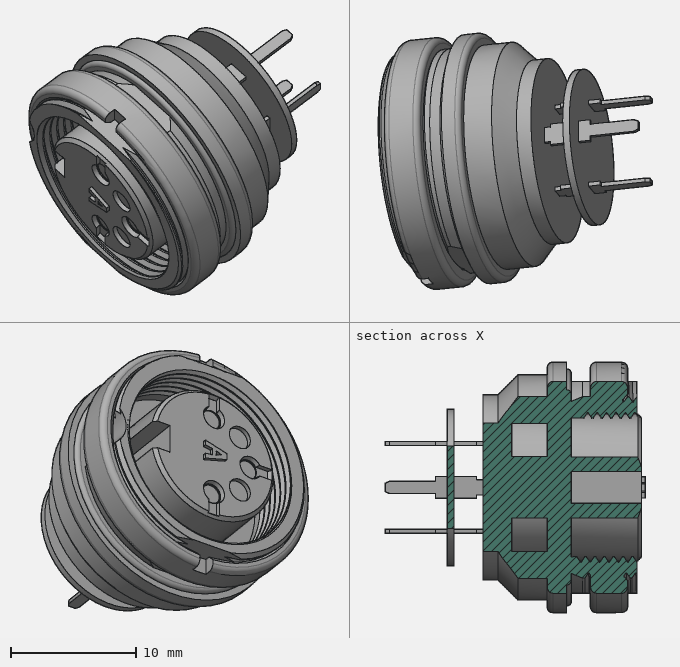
import cadquery as cq

shell_radius = 9.0
shell_neck_radius = 8.7
shell_rear_radius = 7.4
taper_start = 4.35
cone_start = 9.5
cone_end = 11.1
shell_end = 12.3
flat_height = 8.45

flange_radius = 10.0
flange_front = 5.63
flange_rear = 7.18
flange_fillet = 0.45
gasket_radius = 9.45
gasket_front = 5.25
gasket_fillet = 0.35

thread_pitch = 0.75
outer_thread_depth = 0.37
outer_thread_start = -0.895
outer_thread_turns = 6.45
inner_minor_radius = 7.65
inner_major_radius = 8.0
inner_thread_start = -1.03
inner_thread_turns = 7.4
inner_bore_step = 6.3
thread_half_width = 0.36
thread_overshoot = 0.06

side_groove_radius = 2.05
side_groove_bottom = 8.2

cavity_radius = 7.35
cavity_floor = 10.0
insert_radius = 5.85
insert_front = -0.35
insert_chamfer = 0.3
key_width = 2.5
key_bottom = 4.24
key_floor = 6.5

socket_circle_radius = 3.5
socket_mouth_diameter = 2.0
socket_floor_diameter = 1.8
socket_depth = 0.4
contact_bore_diameter = 1.65
contact_bore_depth = 0.1
socket_slot_width = 1.0
slot_end_at_floor = 5.4
slot_end_at_face = 5.66
contact_angles = (0, 90, -90)
blind_angles = (45, -45)

mark_height = 0.3
mark_base_x = -1.03
mark_tip_x = 1.03
mark_base_half = 0.85
mark_tip_half = 0.28
mark_leg_inner_half = 0.4
mark_bar_low_x = -0.35
mark_bar_low_half = 0.28
mark_bar_high_x = 0.03
mark_bar_high_half = 0.18
mark_window_tip_x = 0.5

nut_radius = 10.0
nut_front = 0.75
nut_rear = 3.75
nut_bore_radius = 8.6
nut_mouth_radius = 9.15
nut_fillet = 0.5
nut_slot_width = 1.25
nut_slot_depth = 1.0

pin_thickness = 0.33
pin_neck_width = 1.25
pin_shoulder_width = 1.75
pin_tail_width = 1.0
pin_shoulder_start = 12.8
pin_shoulder_end = 16.1
pin_tip = 20.1
pin_tip_bevel = 0.16
pin_tip_length = 0.35
disc_radius = 6.25
disc_front = 14.6
disc_rear = 15.15


def cylinder(radius, front, rear):
    """Solid cylinder on the Y axis between two Y positions."""
    return cq.Workplane("XZ", origin=(0, front, 0)).circle(radius).extrude(front - rear)


def helical_groove(radius, profile, start, turns):
    """Right-handed groove on the Y axis; profile holds (radius, axial) points."""
    path = cq.Wire.makeHelix(thread_pitch, turns * thread_pitch, radius)
    groove = cq.Workplane("XZ").polyline(profile).close().sweep(cq.Workplane(path), isFrenet=True)
    return groove.rotate((0, 0, 0), (1, 0, 0), -90).translate((0, start, 0))


def make_threaded_shell():
    outline = [
        (0, taper_start),
        (shell_radius, taper_start),
        (shell_neck_radius, gasket_front),
        (shell_neck_radius, flange_rear),
        (shell_radius, flange_rear),
        (shell_radius, cone_start),
        (shell_rear_radius, cone_end),
        (shell_rear_radius, shell_end),
        (0, shell_end),
    ]
    rear_shell = cq.Workplane("XY").polyline(outline).close().revolve(360, (0, 0, 0), (0, 1, 0))

    groove_profile = [
        (shell_radius - outer_thread_depth, 0),
        (shell_radius + thread_overshoot, thread_half_width),
        (shell_radius + thread_overshoot, -thread_half_width),
    ]
    groove = helical_groove(shell_radius, groove_profile, outer_thread_start, outer_thread_turns)
    threaded_section = cylinder(shell_radius, 0, taper_start).cut(groove)
    return threaded_section.union(rear_shell)


def cut_shell_sides(shell):
    """Two flats above and below, and the rounded groove on the -X side."""
    for side in (1, -1):
        waste = cq.Workplane("XY").box(
            2 * shell_radius, gasket_front, 2 * (flange_radius - flat_height), centered=(True, False, True)
        )
        shell = shell.cut(waste.translate((0, 0, side * flange_radius)))
    groove = cylinder(side_groove_radius, 0, gasket_front)
    return shell.cut(groove.translate((-side_groove_bottom - side_groove_radius, 0, 0)))


def cut_cavity(shell):
    """Threaded bore at the front, stepping down to a plain bore behind it."""
    groove_profile = [
        (inner_major_radius, 0),
        (inner_minor_radius - thread_overshoot, thread_half_width),
        (inner_minor_radius - thread_overshoot, -thread_half_width),
    ]
    groove = helical_groove(inner_minor_radius, groove_profile, inner_thread_start, inner_thread_turns)
    threaded_bore = cylinder(inner_minor_radius, -thread_pitch, inner_bore_step).union(groove)
    return shell.cut(threaded_bore).cut(cylinder(cavity_radius, 0, cavity_floor))


def make_flange():
    flange = cylinder(flange_radius, flange_front, flange_rear).faces(">Y").edges().fillet(flange_fillet)
    gasket = cylinder(gasket_radius, gasket_front, flange_front).faces("<Y").edges().fillet(gasket_fillet)
    return flange.union(gasket)


def make_nut():
    mouth_length = nut_mouth_radius - nut_bore_radius
    outline = [
        (nut_bore_radius, nut_front + mouth_length),
        (nut_mouth_radius, nut_front),
        (nut_radius, nut_front),
        (nut_radius, nut_rear),
        (nut_bore_radius, nut_rear),
    ]
    nut = cq.Workplane("XY").polyline(outline).close().revolve(360, (0, 0, 0), (0, 1, 0))
    nut = nut.edges(cq.selectors.RadiusNthSelector(-1)).fillet(nut_fillet)
    slot = cq.Workplane("XY").box(
        nut_slot_width, nut_slot_depth, 2 * nut_radius, centered=(True, False, True)
    )
    return nut.cut(slot.translate((0, nut_front, 0)))


def make_socket(with_slot):
    """Cutter for the socket on the +X side of the insert."""
    floor = insert_front + socket_depth
    floor_diameter = socket_floor_diameter if with_slot else socket_mouth_diameter
    hole = (
        cq.Workplane("XZ", origin=(socket_circle_radius, insert_front, 0))
        .circle(socket_mouth_diameter / 2)
        .workplane(offset=-socket_depth)
        .circle(floor_diameter / 2)
        .loft()
    )
    if not with_slot:
        return hole
    slot_outline = [
        (socket_circle_radius, insert_front),
        (slot_end_at_face, insert_front),
        (slot_end_at_floor, floor),
        (socket_circle_radius, floor),
    ]
    slot = cq.Workplane("XY").polyline(slot_outline).close().extrude(socket_slot_width / 2, both=True)
    bore = cylinder(contact_bore_diameter / 2, floor, floor + contact_bore_depth)
    return hole.union(slot).union(bore.translate((socket_circle_radius, 0, 0)))


def make_insert():
    insert = cylinder(insert_radius, insert_front, cavity_floor).faces("<Y").edges().chamfer(insert_chamfer)
    key = cq.Workplane("XY").box(
        insert_radius - key_bottom, key_floor - insert_front, key_width, centered=(False, False, True)
    )
    insert = insert.cut(key.translate((-insert_radius, insert_front, 0)))
    for angles, with_slot in ((contact_angles, True), (blind_angles, False)):
        for angle in angles:
            insert = insert.cut(make_socket(with_slot).rotate((0, 0, 0), (0, 1, 0), angle))
    return insert


def make_mark():
    """Letter A lying on its side, with its tip towards +X."""
    upper_half = [
        (mark_tip_x, mark_tip_half),
        (mark_base_x, mark_base_half),
        (mark_base_x, mark_leg_inner_half),
        (mark_bar_low_x, mark_bar_low_half),
    ]
    lower_half = [(x, -z) for x, z in reversed(upper_half)]
    window = [
        (mark_bar_high_x, mark_bar_high_half),
        (mark_bar_high_x, -mark_bar_high_half),
        (mark_window_tip_x, 0),
    ]
    plane = cq.Workplane("XZ", origin=(0, insert_front, 0))
    return plane.polyline(upper_half + lower_half).close().polyline(window).close().extrude(mark_height)


def make_pin():
    """Flat solder pin on the +X side, wide along Z."""
    neck = pin_neck_width / 2
    shoulder = pin_shoulder_width / 2
    tail = pin_tail_width / 2
    right_half = [
        (shell_end, neck),
        (pin_shoulder_start, neck),
        (pin_shoulder_start, shoulder),
        (pin_shoulder_end, shoulder),
        (pin_shoulder_end, tail),
        (pin_tip - pin_tip_length, tail),
        (pin_tip, tail - pin_tip_bevel),
    ]
    left_half = [(y, -z) for y, z in reversed(right_half)]
    pin = cq.Workplane("YZ").polyline(right_half + left_half).close().extrude(pin_thickness / 2, both=True)
    return pin.translate((socket_circle_radius, 0, 0))


result = cut_cavity(cut_shell_sides(make_threaded_shell()))
result = result.union(make_flange()).union(make_nut())
result = result.union(make_insert()).union(make_mark())
result = result.union(cylinder(disc_radius, disc_front, disc_rear))
for contact_angle in contact_angles:
    result = result.union(make_pin().rotate((0, 0, 0), (0, 1, 0), contact_angle))